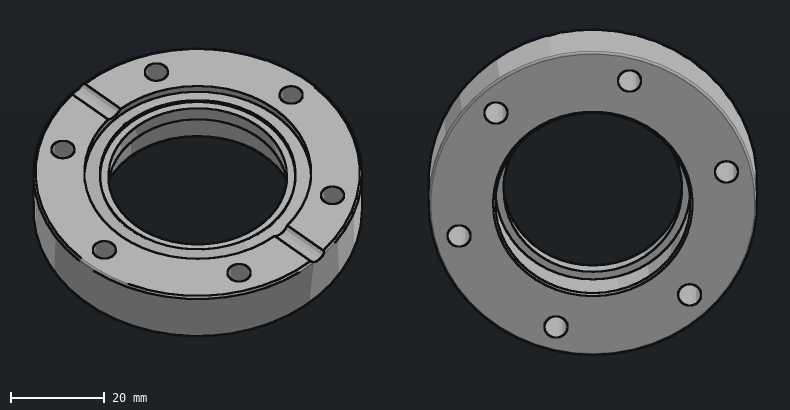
import cadquery as cq

flange_diameter = 70.0
flange_thickness = 13.0
rim_fillet = 0.5

bore_diameter = 38.0
socket_diameter = 41.5
socket_mouth_chamfer = 0.5
socket_ceiling_depth = 4.9

recess_diameter = 48.3
recess_depth = 1.9
knife_diameter = 41.7
knife_tip_depth = 0.8
inner_land_diameter = 41.5
inner_land_depth = 1.25

bolt_count = 6
bolt_circle_diameter = 58.8
bolt_hole_diameter = 4.9

groove_width = 4.0
groove_depth = 0.85
groove_radius = ((groove_width / 2) ** 2 + groove_depth**2) / (2 * groove_depth)


def make_body():
    """Flange disc, resting on Z = 0, with both outer rims rounded."""
    disc = cq.Workplane("XY").circle(flange_diameter / 2).extrude(flange_thickness)
    return disc.edges().fillet(rim_fillet)


def make_inner_cavity():
    """Revolved void: sealing recess, knife edge, bore and lower socket."""
    top = flange_thickness
    return (
        cq.Workplane("XZ")
        .moveTo(0, 0)
        .lineTo(socket_diameter / 2 + socket_mouth_chamfer, 0)
        .lineTo(socket_diameter / 2, socket_mouth_chamfer)
        .lineTo(socket_diameter / 2, top - socket_ceiling_depth)
        .lineTo(bore_diameter / 2, top - socket_ceiling_depth)
        .lineTo(bore_diameter / 2, top - inner_land_depth)
        .lineTo(inner_land_diameter / 2, top - inner_land_depth)
        .lineTo(knife_diameter / 2, top - knife_tip_depth)
        .lineTo(recess_diameter / 2, top - recess_depth)
        .lineTo(recess_diameter / 2, top)
        .lineTo(0, top)
        .close()
        .revolve(360, (0, 0, 0), (0, 1, 0))
    )


def make_bolt_holes():
    """Through holes spaced evenly, with one on the +Y axis."""
    return (
        cq.Workplane("XY")
        .polarArray(bolt_circle_diameter / 2, 90, 360, bolt_count)
        .circle(bolt_hole_diameter / 2)
        .extrude(flange_thickness)
    )


def make_grooves():
    """Round-bottomed channel along X that forms both leak-check grooves."""
    axis_height = flange_thickness - groove_depth + groove_radius
    return (
        cq.Workplane("YZ")
        .center(0, axis_height)
        .circle(groove_radius)
        .extrude(flange_diameter / 2, both=True)
    )


result = make_body().cut(make_inner_cavity()).cut(make_bolt_holes()).cut(make_grooves())